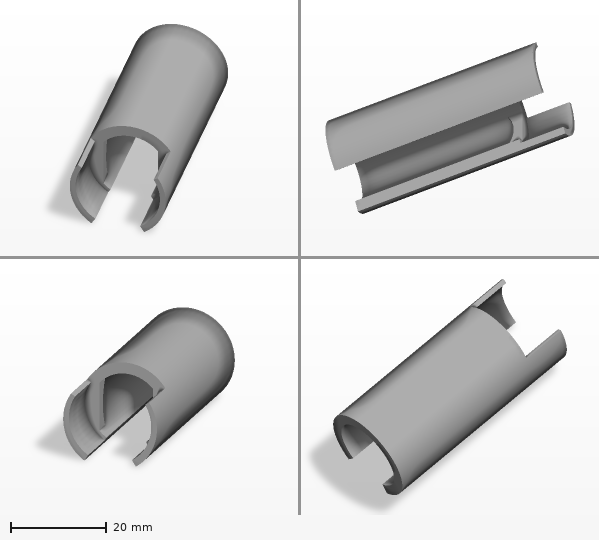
import cadquery as cq
import math

length = 48.0
outer_diameter = 21.0
bore_radius = 8.0
web_half_gap = 5.95
web_waist = 2.0
web_back_radius = 10.5
jaw_length = 10.0
jaw_bore_radius = 9.2
jaw_bore_rise = 0.4
slot_angle = 56.6
jaw_top_angle = 33.7

outer_radius = outer_diameter / 2
front = -length / 2
shoulder = front + jaw_length
reach = 3 * outer_radius


def section(start):
    """Workplane across the tube at a given Y, extruding toward +Y."""
    return cq.Workplane("XZ", origin=(0, start, 0))


def cylinder(radius, start, depth, rise=0.0):
    return section(start).center(0, rise).circle(radius).extrude(-depth)


def wedge(edge_angle, start, depth):
    """Symmetric wedge from the axis, opening up or down between two radial edges."""
    x = reach * math.cos(math.radians(edge_angle))
    z = reach * math.sin(math.radians(edge_angle))
    return section(start).polyline([(0, 0), (x, z), (-x, z)]).close().extrude(-depth)


web_half_height = math.sqrt(bore_radius**2 - web_half_gap**2)
web_back_sag = web_back_radius - math.sqrt(web_back_radius**2 - web_half_height**2)
web_length = web_waist + web_back_sag

tube = cylinder(outer_radius, front, length)
bore = cylinder(bore_radius, front, length)
web_gap = section(shoulder).rect(2 * web_half_gap, 2 * outer_radius).extrude(-web_length)
web_back = (
    cq.Workplane("YZ", origin=(0, shoulder + web_waist + web_back_radius, 0))
    .circle(web_back_radius)
    .extrude(outer_radius, both=True)
)
webs = cylinder(bore_radius, shoulder, web_length).cut(web_gap).cut(web_back)
body = tube.cut(bore).union(webs)

body = body.cut(wedge(-slot_angle, front, length))

body = body.cut(cylinder(jaw_bore_radius, front, jaw_length, jaw_bore_rise))
result = body.cut(wedge(jaw_top_angle, front, jaw_length))